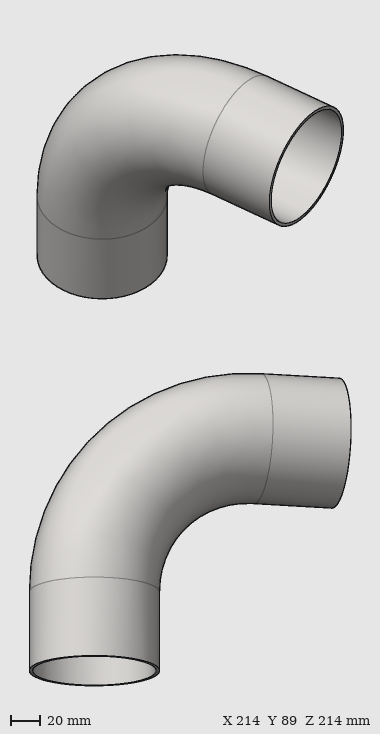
import cadquery as cq

overall_size = 214.0
outer_diameter = 89.0
bore_diameter = 84.3
straight_length = 55.0

bend_radius = overall_size - outer_diameter / 2 - straight_length


def elbow_rod(diameter):
    """Solid rod rising along Z, bending through 90 degrees and leaving along X."""
    section = cq.Workplane("XY").circle(diameter / 2)
    lower_end = section.extrude(straight_length)
    bend = (
        cq.Workplane("XY", origin=(0, 0, straight_length))
        .circle(diameter / 2)
        .revolve(90, (bend_radius, 0, 0), (bend_radius, 1, 0))
    )
    upper_end = (
        cq.Workplane("YZ", origin=(bend_radius, 0, straight_length + bend_radius))
        .circle(diameter / 2)
        .extrude(straight_length)
    )
    return lower_end.union(bend).union(upper_end)


result = elbow_rod(outer_diameter).cut(elbow_rod(bore_diameter))